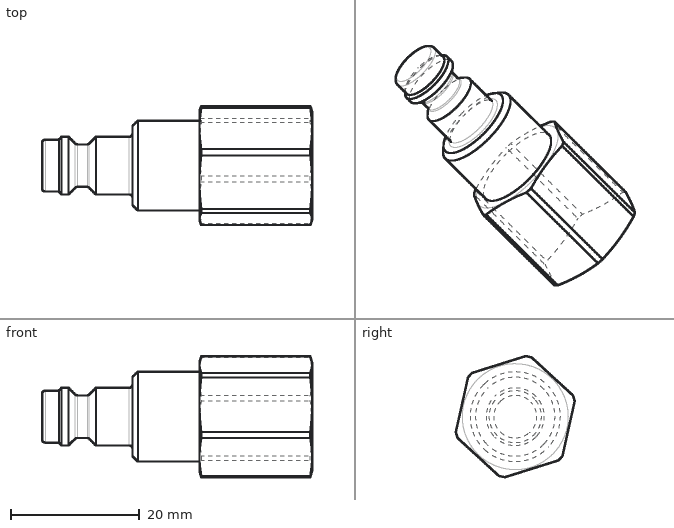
import cadquery as cq
import math

length = 42.0

tip_dia = 8.1
collar_dia = 9.0
neck_dia = 6.65
shoulder_dia = 14.0
collar_start = 2.6
collar_end = 4.1
stem_start = 8.35
shoulder_start = 14.03
shoulder_chamfer = 0.85
tip_round = 0.5
root_round = 0.5
neck_rear_round = 0.35

nut_start = 24.45
across_flats = 17.0
corner_dia = 19.1
nut_tilt = 12.6
chamfer_angle = 15.0
front_face_dia = 16.9
rear_face_dia = 16.45


def round_edge(body, x, diameter, radius):
    """Round the circular edge of the given diameter at station x."""
    margin = 0.02
    half = diameter / 2 + margin
    box = cq.selectors.BoxSelector(
        (x - margin, -half, -half), (x + margin, half, half), boundingbox=True
    )
    return body.edges(box).fillet(radius)


def make_plug():
    """Turned plug with a 45 degree collar and neck and a chamfered shoulder."""
    tip_r = tip_dia / 2
    collar_r = collar_dia / 2
    neck_r = neck_dia / 2
    shoulder_r = shoulder_dia / 2
    neck_depth = collar_r - neck_r
    neck_start = collar_end + neck_depth
    neck_end = stem_start - neck_depth
    body = (
        cq.Workplane("XY")
        .polyline([
            (0, 0),
            (0, tip_r),
            (collar_start, tip_r),
            (collar_start + collar_r - tip_r, collar_r),
            (collar_end, collar_r),
            (neck_start, neck_r),
            (neck_end, neck_r),
            (stem_start, collar_r),
            (shoulder_start, collar_r),
            (shoulder_start, shoulder_r - shoulder_chamfer),
            (shoulder_start + shoulder_chamfer, shoulder_r),
            (nut_start, shoulder_r),
            (nut_start, 0),
        ])
        .close()
        .revolve(360, (0, 0, 0), (1, 0, 0))
    )
    body = round_edge(body, 0, tip_dia, tip_round)
    body = round_edge(body, neck_start, neck_dia, root_round)
    body = round_edge(body, neck_end, neck_dia, neck_rear_round)
    return round_edge(body, shoulder_start, collar_dia, root_round)


def make_nut():
    """Hexagonal prism trimmed by a turned blank with conical ends."""
    corner_r = corner_dia / 2
    front_r = front_face_dia / 2
    rear_r = rear_face_dia / 2
    slope = math.tan(math.radians(chamfer_angle))
    prism = (
        cq.Workplane("YZ", origin=(nut_start, 0, 0))
        .polygon(6, across_flats / math.cos(math.pi / 6))
        .extrude(length - nut_start)
        .rotate((0, 0, 0), (1, 0, 0), 90 - nut_tilt)
    )
    blank = (
        cq.Workplane("XY")
        .polyline([
            (nut_start, 0),
            (nut_start, front_r),
            (nut_start + (corner_r - front_r) * slope, corner_r),
            (length - (corner_r - rear_r) * slope, corner_r),
            (length, rear_r),
            (length, 0),
        ])
        .close()
        .revolve(360, (0, 0, 0), (1, 0, 0))
    )
    return prism.intersect(blank)


result = make_plug().union(make_nut())